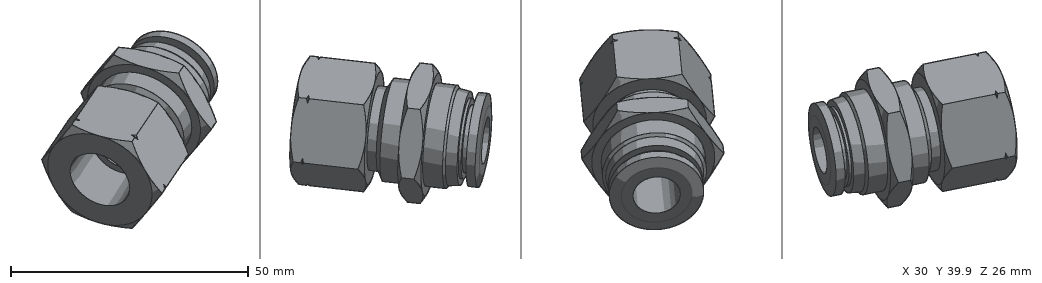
import cadquery as cq
import math


FEMALE_HEX_LENGTH = 16.0
NECK_LENGTH = 2.0
NECK_ROOT = 8.0
NUT_START = 23.3
NUT_THICKNESS = 5.0
BODY_END = 32.55
COLLAR_START = 33.05
COLLAR_END = 35.5
RIM_END = 36.1
STEM_END = 37.4
CAP_EDGE = 39.35
TOTAL_LENGTH = 39.85

NECK_RADIUS = 9.0
BODY_RADIUS = 11.0
COLLAR_BASE_RADIUS = 10.35
COLLAR_TOP_RADIUS = 10.0
RIM_RADIUS = 8.6
STEM_RADIUS = 7.25
CAP_RADIUS = 10.0
CAP_FACE_RADIUS = 7.5
BODY_SHOULDER_ANGLE = 30.0

FEMALE_HEX_FLATS = 24.0
NUT_FLATS = 26.0
HEX_CHAMFER_ANGLE = 30.0

GROOVE_POSITION = 3.0
GROOVE_HALF_WIDTH = 0.3
GROOVE_DEPTH = 0.45

THROUGH_RADIUS = 5.0
SOCKET_MOUTH_RADIUS = 6.84
SOCKET_DEPTH = 11.0
SOCKET_TAPER = 1 / 16


def revolve_profile(points):
    """Turn a closed (radius, Y) outline about the Y axis."""
    return cq.Workplane("XY").polyline(points).close().revolve(360, (0, 0, 0), (0, 1, 0))


def corner_radius(across_flats):
    return across_flats / math.sqrt(3)


def chamfered_hexagon(across_flats, start, length):
    """Hexagonal prism with corners on X and both ends chamfered down to its inscribed circle."""
    end = start + length
    face_radius = across_flats / 2
    outer_radius = corner_radius(across_flats)
    chamfer_length = (outer_radius - face_radius) * math.tan(math.radians(HEX_CHAMFER_ANGLE))
    prism = (
        cq.Workplane("XZ", origin=(0, start, 0))
        .polygon(6, 2 * outer_radius)
        .extrude(-length)
    )
    envelope = revolve_profile([
        (0, start),
        (face_radius, start),
        (outer_radius, start + chamfer_length),
        (outer_radius, end - chamfer_length),
        (face_radius, end),
        (0, end),
    ])
    return prism.intersect(envelope)


def turned_body():
    """Neck, threaded body, collar, rim and release cap as one turned shape."""
    neck_end = FEMALE_HEX_LENGTH + NECK_LENGTH
    shoulder_rise = (BODY_RADIUS - NECK_RADIUS) * math.tan(math.radians(BODY_SHOULDER_ANGLE))
    return revolve_profile([
        (0, NECK_ROOT),
        (NECK_RADIUS, NECK_ROOT),
        (NECK_RADIUS, neck_end),
        (BODY_RADIUS, neck_end + shoulder_rise),
        (BODY_RADIUS, BODY_END),
        (COLLAR_BASE_RADIUS, COLLAR_START),
        (COLLAR_TOP_RADIUS, COLLAR_END),
        (RIM_RADIUS, COLLAR_END),
        (RIM_RADIUS, RIM_END),
        (STEM_RADIUS, RIM_END),
        (STEM_RADIUS, STEM_END),
        (CAP_RADIUS, STEM_END),
        (CAP_RADIUS, CAP_EDGE),
        (CAP_FACE_RADIUS, TOTAL_LENGTH),
        (0, TOTAL_LENGTH),
    ])


def corner_groove():
    """V-section ring that nicks only the hexagon corners."""
    outer_radius = corner_radius(FEMALE_HEX_FLATS)
    return revolve_profile([
        (outer_radius - GROOVE_DEPTH, GROOVE_POSITION),
        (outer_radius, GROOVE_POSITION - GROOVE_HALF_WIDTH),
        (outer_radius, GROOVE_POSITION + GROOVE_HALF_WIDTH),
    ])


def bores():
    """Through hole with a tapered socket in the female end."""
    socket_floor_radius = SOCKET_MOUTH_RADIUS - SOCKET_TAPER * SOCKET_DEPTH / 2
    return revolve_profile([
        (0, 0),
        (SOCKET_MOUTH_RADIUS, 0),
        (socket_floor_radius, SOCKET_DEPTH),
        (THROUGH_RADIUS, SOCKET_DEPTH),
        (THROUGH_RADIUS, TOTAL_LENGTH),
        (0, TOTAL_LENGTH),
    ])


female_hex = chamfered_hexagon(FEMALE_HEX_FLATS, 0, FEMALE_HEX_LENGTH).cut(corner_groove())
nut = chamfered_hexagon(NUT_FLATS, NUT_START, NUT_THICKNESS)
result = turned_body().union(female_hex).union(nut).cut(bores())